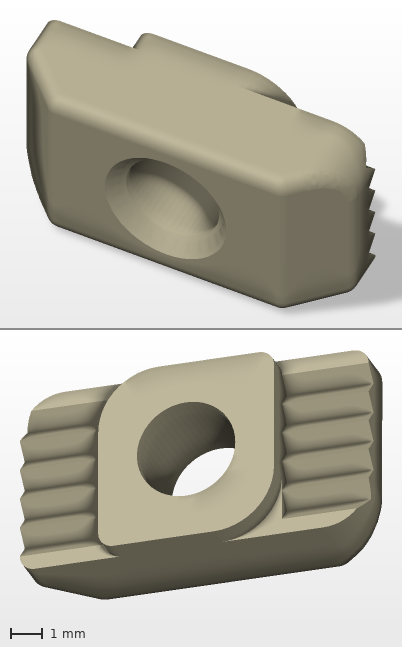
import cadquery as cq

LENGTH = 11.5
DEPTH = 4.0
HEIGHT = 6.0
TENON_LENGTH = 5.8
TENON_DEPTH = 0.8

END_CHAMFER = 1.7
EDGE_RADIUS = 0.5
BODY_TURN_RADIUS = 1.5
TENON_TURN_RADIUS = 2.0

HOLE_DIAMETER = 3.24
COUNTERSINK_DIAMETER = 4.24
COUNTERSINK_ANGLE = 90

TOOTH_COUNT = 5
TOOTH_PITCH = 1.0
TOOTH_DEPTH = TOOTH_PITCH / 2

FRONT_Y = -DEPTH / 2
BACK_Y = DEPTH / 2
SHOULDER_Y = BACK_Y - TENON_DEPTH

CORNER_MARGIN = 0.12


def round_corners(block, length, diagonal, radius):
    """Round the two corners along Y on one diagonal: 1 for -X bottom and +X top, -1 for the others."""
    for side in (-1, 1):
        corner_x = side * length / 2
        corner_z = side * diagonal * HEIGHT / 2
        corner_box = cq.selectors.BoxSelector(
            (corner_x - CORNER_MARGIN, FRONT_Y, corner_z - CORNER_MARGIN),
            (corner_x + CORNER_MARGIN, BACK_Y, corner_z + CORNER_MARGIN),
        )
        block = block.edges("|Y").edges(corner_box).fillet(radius)
    return block


def make_body():
    """Bar with bevelled front ends and every edge rounded except those of the back face."""
    half_length = LENGTH / 2
    bevel_y = FRONT_Y + END_CHAMFER
    body = (
        cq.Workplane("XY")
        .workplane(offset=-HEIGHT / 2)
        .moveTo(-half_length, SHOULDER_Y)
        .lineTo(-half_length, bevel_y)
        .lineTo(-half_length + END_CHAMFER, FRONT_Y)
        .lineTo(half_length - END_CHAMFER, FRONT_Y)
        .lineTo(half_length, bevel_y)
        .lineTo(half_length, SHOULDER_Y)
        .close()
        .extrude(HEIGHT)
    )
    body = round_corners(body, LENGTH, 1, BODY_TURN_RADIUS)
    turn_seams = body.faces("%CYLINDER").edges("|Y").vals()
    rounded_edges = body.edges("not >Y").filter(lambda edge: edge not in turn_seams)
    return rounded_edges.fillet(EDGE_RADIUS)


def cut_teeth(body):
    """Cut V grooves along X into both back shoulders, stopping at the ends of the tenon."""
    shoulder_length = (LENGTH - TENON_LENGTH) / 2
    for index in range(TOOTH_COUNT):
        middle_z = (index - (TOOTH_COUNT - 1) / 2) * TOOTH_PITCH
        for start_x in (-LENGTH / 2, TENON_LENGTH / 2):
            groove = (
                cq.Workplane("YZ")
                .workplane(offset=start_x)
                .moveTo(SHOULDER_Y, middle_z - TOOTH_PITCH / 2)
                .lineTo(SHOULDER_Y - TOOTH_DEPTH, middle_z)
                .lineTo(SHOULDER_Y, middle_z + TOOTH_PITCH / 2)
                .close()
                .extrude(shoulder_length)
            )
            body = body.cut(groove)
    return body


def make_tenon():
    """Full-height block standing on the back of the body, between the toothed shoulders."""
    tenon = cq.Workplane("XY").box(TENON_LENGTH, TENON_DEPTH, HEIGHT)
    tenon = tenon.translate((0, SHOULDER_Y + TENON_DEPTH / 2, 0))
    tenon = round_corners(tenon, TENON_LENGTH, 1, TENON_TURN_RADIUS)
    return round_corners(tenon, TENON_LENGTH, -1, EDGE_RADIUS)


def drill_hole(block):
    """Through hole along Y, countersunk at the front."""
    return (
        block.faces("<Y")
        .workplane(origin=(0, FRONT_Y, 0))
        .cskHole(HOLE_DIAMETER, COUNTERSINK_DIAMETER, COUNTERSINK_ANGLE)
    )


body = cut_teeth(make_body())
result = drill_hole(body.union(make_tenon()))